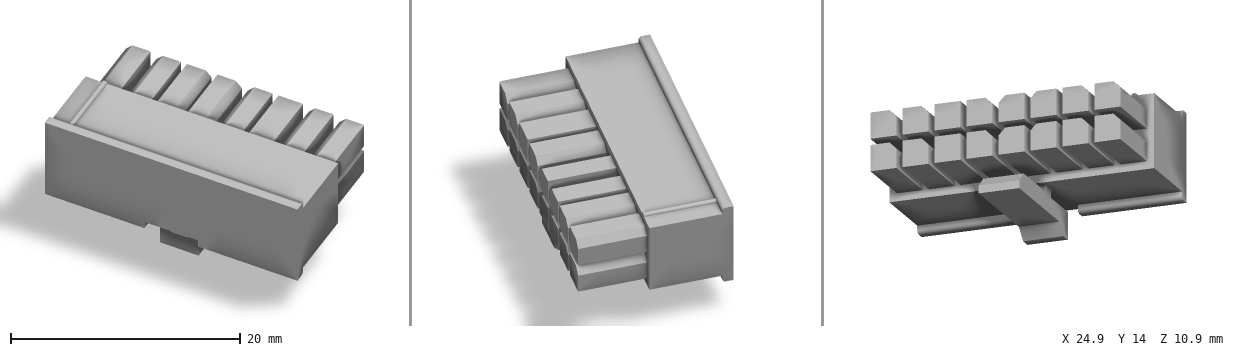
import cadquery as cq


length = 24.85
flange_height = 8.3
flange_thickness = 1.05
flange_edge = 0.32
body_back = 7.7
body_bottom = 0.72
body_top = 7.65
bead_left = 1.62
bead_width = 0.55
bead_height = 0.25
notch_width = 5.27

tower_columns = 8
tower_row_span = 21.0
tower_pitch = tower_row_span / (tower_columns - 1)
tower_side = 2.44
tower_back = 14.0
lower_row_bottom = 1.47
tower_bottoms = (lower_row_bottom, lower_row_bottom + tower_pitch)
tower_chamfer = 0.65
small_chamfer = 0.57
left, right = -1, 1
column_keys = (
    (left, tower_chamfer),
    (left, tower_chamfer),
    (right, small_chamfer),
    (right, tower_chamfer),
    (left, tower_chamfer),
    None,
    (left, tower_chamfer),
    (left, tower_chamfer),
)

latch_width = 3.8
latch_front = 1.55
latch_back = 13.12
latch_bottom = -2.55
lever_front_top = 0.0
lever_tail_top = 0.15
lever_bottom = -1.55
hook_tip_back = 2.55
tail_slope_length = 1.05
tail_slope_drop = 0.97
neck_front = 5.57
neck_back = 6.7
neck_tail_fillet = 0.25
neck_front_fillet = 0.15
root_fillet = 0.25
slot_width = 1.71
slot_floor = -0.9
slot_back = 10.85


def box(x_min, x_max, y_min, y_max, z_min, z_max):
    size = (x_max - x_min, y_max - y_min, z_max - z_min)
    return cq.Workplane("XY").box(*size, centered=False).translate((x_min, y_min, z_min))


def make_flange():
    flange = box(-length / 2, length / 2, 0, flange_thickness, 0, flange_height)
    flange = flange.edges("|X and >Y").fillet(flange_edge)
    notch = box(-notch_width / 2, notch_width / 2, 0, flange_thickness, 0, body_bottom)
    return flange.cut(notch)


def make_body():
    bead_start = -length / 2 + bead_left
    bead_end = bead_start + bead_width
    bead_crest = (bead_start + bead_width / 2, body_top + bead_height)
    return (
        cq.Workplane("XZ")
        .moveTo(-length / 2, body_bottom)
        .lineTo(length / 2, body_bottom)
        .lineTo(length / 2, body_top)
        .lineTo(bead_end, body_top)
        .threePointArc(bead_crest, (bead_start, body_top))
        .lineTo(-length / 2, body_top)
        .close()
        .extrude(-body_back)
    )


def make_tower(center_x, bottom, key):
    half = tower_side / 2
    tower = box(center_x - half, center_x + half, body_back, tower_back, bottom, bottom + tower_side)
    if key is None:
        return tower
    side, chamfer = key
    corner = "<X" if side == left else ">X"
    return tower.faces(">Z").edges(corner).chamfer(chamfer)


def make_latch():
    hook_rise = lever_bottom - latch_bottom
    return (
        cq.Workplane("YZ")
        .moveTo(latch_front, latch_bottom)
        .lineTo(hook_tip_back, latch_bottom)
        .lineTo(hook_tip_back + hook_rise, lever_bottom)
        .lineTo(latch_back, lever_bottom)
        .lineTo(latch_back, lever_tail_top - tail_slope_drop)
        .lineTo(latch_back - tail_slope_length, lever_tail_top)
        .lineTo(neck_back + neck_tail_fillet, lever_tail_top)
        .radiusArc((neck_back, lever_tail_top + neck_tail_fillet), neck_tail_fillet)
        .lineTo(neck_back, body_bottom)
        .lineTo(neck_front, body_bottom)
        .lineTo(neck_front, lever_front_top + neck_front_fillet)
        .radiusArc((neck_front - neck_front_fillet, lever_front_top), neck_front_fillet)
        .lineTo(latch_front, lever_front_top)
        .close()
        .extrude(latch_width / 2, both=True)
    )


def make_latch_slot():
    half = slot_width / 2
    return box(-half, half, latch_front, slot_back, slot_floor, body_bottom)


def fillet_latch_root(part):
    """Round the sides and back of the neck into the body underside; the front stays sharp."""
    reach = 0.02
    root = cq.selectors.BoxSelector(
        (-latch_width, neck_front + reach, body_bottom - reach),
        (latch_width, neck_back + reach, body_bottom + reach),
    )
    return part.edges(root).fillet(root_fillet)


result = make_flange().union(make_body())
result = fillet_latch_root(result.union(make_latch()))
result = result.cut(make_latch_slot())

first_column_x = -tower_row_span / 2
for tower_bottom in tower_bottoms:
    for column, key in enumerate(column_keys):
        tower = make_tower(first_column_x + column * tower_pitch, tower_bottom, key)
        result = result.union(tower)